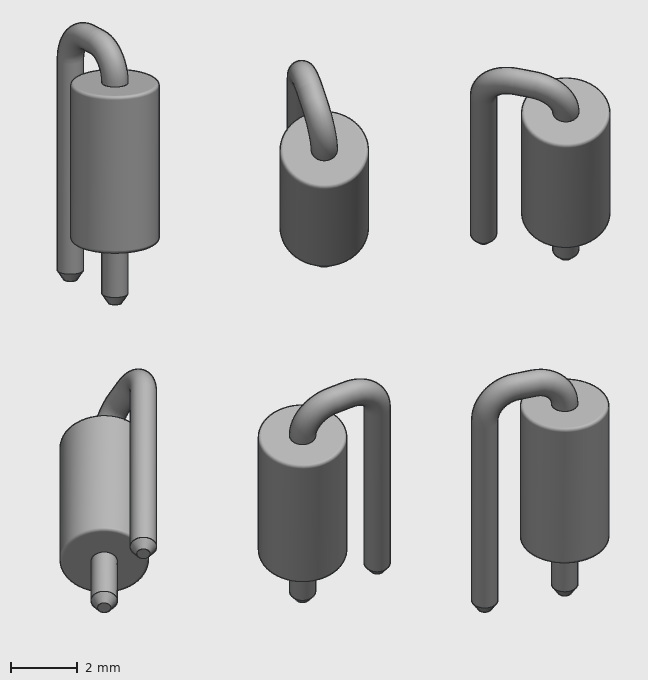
import cadquery as cq

total_height = 8.39
lead_diameter = 0.8
lead_spacing = 2.54
lead_radius = lead_diameter / 2
bend_radius = 1.0

tip_length = 0.3
tip_radius = 0.2

body_diameter = 2.67
body_height = 4.99
body_edge_radius = 0.1

body_top = total_height - lead_radius - bend_radius
body_bottom = body_top - body_height


def make_body():
    """Upright cylinder with rounded rims, centred on the Z axis."""
    cylinder = (
        cq.Workplane("XY")
        .workplane(offset=body_bottom)
        .circle(body_diameter / 2)
        .extrude(body_height)
    )
    return cylinder.edges("%CIRCLE").fillet(body_edge_radius)


def make_lead(x, top):
    """Straight vertical lead from z = 0 to top, with a conical tip."""
    return (
        cq.Workplane("XZ")
        .moveTo(0, 0)
        .lineTo(tip_radius, 0)
        .lineTo(lead_radius, tip_length)
        .lineTo(lead_radius, top)
        .lineTo(0, top)
        .close()
        .revolve(360, (0, 0, 0), (0, 1, 0))
        .translate((x, 0, 0))
    )


def make_bridge():
    """Wire loop from the outer lead over to the top of the body."""
    crest = body_top + bend_radius
    path = (
        cq.Workplane("XZ")
        .moveTo(-lead_spacing, body_top)
        .radiusArc((-lead_spacing + bend_radius, crest), bend_radius)
        .lineTo(-bend_radius, crest)
        .radiusArc((0, body_top), bend_radius)
    )
    return (
        cq.Workplane("XY")
        .workplane(offset=body_top)
        .center(-lead_spacing, 0)
        .circle(lead_radius)
        .sweep(path)
    )


body_lead = make_lead(0, body_top)
outer_lead = make_lead(-lead_spacing, body_top)
result = make_body().union(body_lead).union(outer_lead).union(make_bridge())